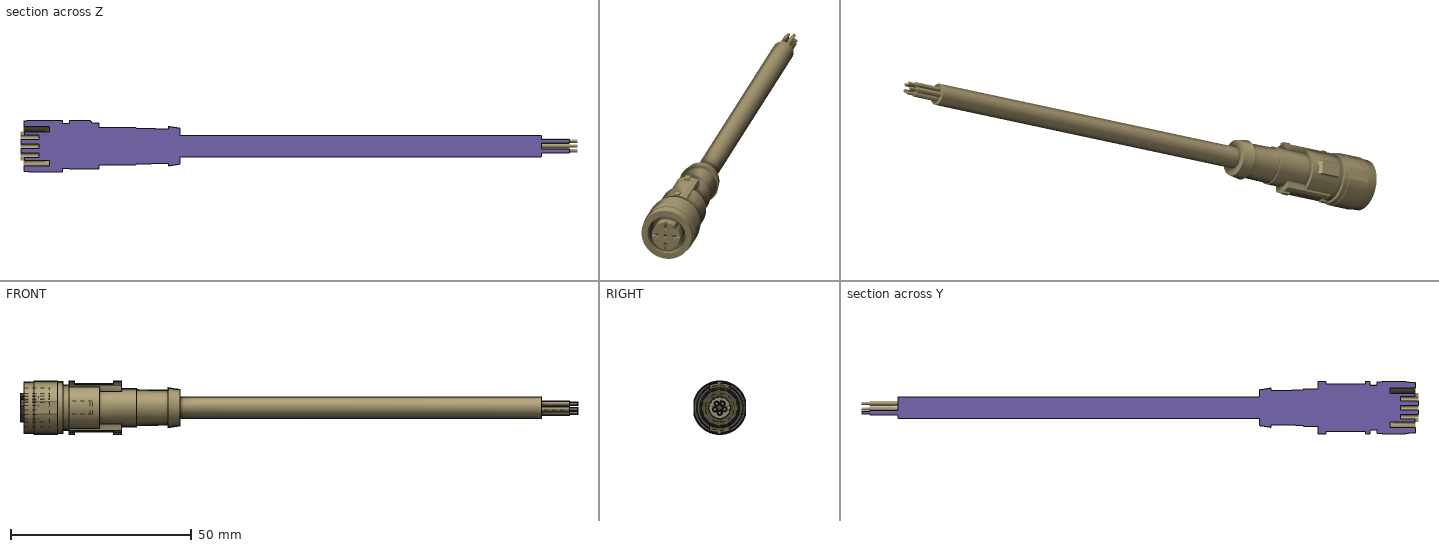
import math

import cadquery as cq

total_length = 154.5
overall_height = 14.79
overall_width = 14.4

insert_radius = 4.0
recess_radius = 5.4
recess_end = 8.0
contact_hole_radius = 0.6
contact_hole_depth = 5.0
contact_circle_radius = 2.5
outer_contact_count = 4
contact_slot_width = 0.6
contact_slot_depth = 1.0
key_angle = 135.0
key_width = 1.2
key_bottom_radius = 2.7

nut_start = 0.9
nut_taper_end = 3.7
nut_body_end = 10.2
nut_end = 11.7
nut_radius = overall_height / 2
nut_collar_radius = overall_width / 2
nut_front_radius = 7.1

neck_radius = 6.3
body_start = 13.5
body_end = 21.85
body_radius = 6.45
sleeve_radius = 5.3
sleeve_end = 32.1
taper_start_radius = 5.0
taper_end_radius = 4.85
flange_start = 40.9
flange_radius = 5.55
flange_end = 44.2
flange_end_radius = 5.05

root_depth = 3.0

tab_end = 28.0
tab_width = 5.6
tab_radius = 6.9
tab_flat_start = 14.9
tab_flat_end = 25.7
tab_flat_width = 3.3
tab_flat_height = math.sqrt(tab_radius**2 - (tab_flat_width / 2) ** 2)
rail_width = 1.4

mark_end = 19.3
mark_slope_length = 0.7
mark_width = 3.6

cable_radius = 3.0
cable_end = 144.4
wire_count = 5
wire_circle_radius = 1.4
wire_radius = 0.72
wire_end = 152.2
strand_radius = 0.45


def rod(radius, start, end, y=0.0, z=0.0):
    """Round rod parallel to X."""
    return cq.Workplane("YZ", origin=(start, y, z)).circle(radius).extrude(end - start)


def block(start, end, y_min, y_max, z_min, z_max):
    """Box given by its limits along X, Y and Z."""
    size = (end - start, y_max - y_min, z_max - z_min)
    return cq.Workplane("XY", origin=(start, y_min, z_min)).box(*size, centered=False)


def turned_housing():
    """Nut, body, strain relief and cable as one turned profile."""
    profile = [
        (nut_start, 0),
        (nut_start, nut_front_radius),
        (nut_taper_end, nut_collar_radius),
        (nut_taper_end, nut_radius),
        (nut_body_end, nut_radius),
        (nut_body_end, nut_collar_radius),
        (nut_end, nut_collar_radius),
        (nut_end, neck_radius),
        (body_start, neck_radius),
        (body_start, body_radius),
        (body_end, body_radius),
        (body_end, sleeve_radius),
        (sleeve_end, sleeve_radius),
        (sleeve_end, taper_start_radius),
        (flange_start, taper_end_radius),
        (flange_start, flange_radius),
        (flange_end, flange_end_radius),
        (flange_end, cable_radius),
        (cable_end, cable_radius),
        (cable_end, 0),
    ]
    return cq.Workplane("XY").polyline(profile).close().revolve(360, (0, 0, 0), (1, 0, 0))


def nut_flats():
    """Material outside the two flats on the +Y and -Y sides of the nut."""
    half_width = overall_width / 2
    upper = block(nut_taper_end, nut_body_end, half_width, nut_radius, -nut_radius, nut_radius)
    return upper.union(upper.mirror("XZ"))


def contact_insert():
    """Round insert with five contact holes, four radial slots and a key groove."""
    insert = rod(insert_radius, 0, recess_end)
    hole = rod(contact_hole_radius, 0, contact_hole_depth)
    slot = block(
        0, contact_slot_depth,
        contact_circle_radius, insert_radius,
        -contact_slot_width / 2, contact_slot_width / 2,
    )
    pocket = hole.translate((0, contact_circle_radius, 0)).union(slot)
    insert = insert.cut(hole)
    for index in range(outer_contact_count):
        angle = 360 * index / outer_contact_count
        insert = insert.cut(pocket.rotate((0, 0, 0), (1, 0, 0), angle))
    key = block(0, recess_end, key_bottom_radius, insert_radius, -key_width / 2, key_width / 2)
    return insert.cut(key.rotate((0, 0, 0), (1, 0, 0), key_angle))


def grip_tab():
    """Curved tab on the +Z side with a flat face between two end rails."""
    height = overall_height / 2
    tab = rod(tab_radius, body_start, tab_end).intersect(
        block(body_start, tab_end, -tab_width / 2, tab_width / 2, root_depth, height)
    )
    half_flat = tab_flat_width / 2
    tab = tab.cut(block(tab_flat_start, tab_flat_end, -half_flat, half_flat, tab_flat_height, height))
    for start, end in ((body_start, tab_flat_start), (tab_flat_end, tab_end)):
        tab = tab.union(block(start, end, -rail_width / 2, rail_width / 2, root_depth, height))
    return tab


def orientation_mark():
    """Raised mark on the +Y side, sloping down at its rear end."""
    profile = [
        (body_start, root_depth),
        (body_start, overall_width / 2),
        (mark_end, overall_width / 2),
        (mark_end + mark_slope_length, neck_radius),
        (mark_end + mark_slope_length, root_depth),
    ]
    return cq.Workplane("XY").polyline(profile).close().extrude(mark_width / 2, both=True)


def wires():
    """Ring of insulated wires with stripped ends, one wire at the bottom."""
    bundle = cq.Workplane("XY")
    for index in range(wire_count):
        angle = 2 * math.pi * index / wire_count
        y = wire_circle_radius * math.sin(angle)
        z = -wire_circle_radius * math.cos(angle)
        bundle = bundle.union(rod(wire_radius, flange_end, wire_end, y, z))
        bundle = bundle.union(rod(strand_radius, flange_end, total_length, y, z))
    return bundle


tab = grip_tab()
housing = turned_housing().cut(nut_flats()).cut(rod(recess_radius, 0, recess_end))
result = (
    housing.union(contact_insert())
    .union(tab)
    .union(tab.mirror("XY"))
    .union(orientation_mark())
    .union(wires())
)